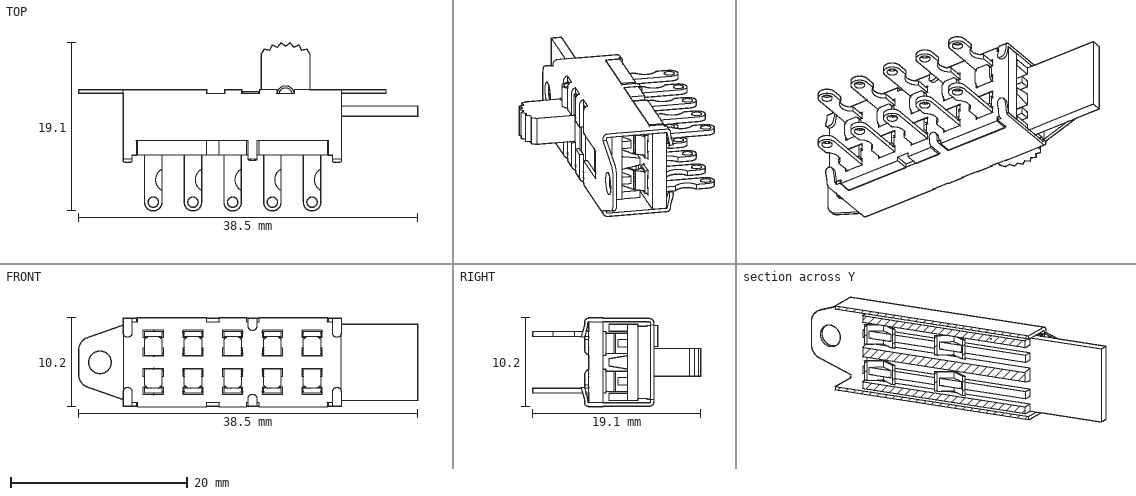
import cadquery as cq
import math


overall_length = 38.5

shell_half_length = 12.4
shell_half_height = 5.0
sheet = 0.42
bend_radius = 0.58
wall_front_y = -7.45
inner_half_height = shell_half_height - sheet

ear_end_x = 17.45
ear_root_half_height = 4.25
ear_tip_half_height = 2.45
ear_corner_radius = 1.5
ear_hole_diameter = 2.55
ear_hole_x = 15.0

knob_slot_half_height = 1.65
slit_pitch = 3.95
slit_width = 2.0
slit_count = 3

tab_width = 1.05
mid_tab_left = 1.77
corner_tab_tip_z = 2.85
mid_tab_tip_z = 3.6
tab_bend_z = 4.25
tab_bend_y = wall_front_y - sheet
tab_slope = 0.28

block_half_length = 12.35
block_front_y = -7.43
block_back_y = -5.78
pad_half_height = 5.1
pad_spans = [(-10.78, -2.93), (-1.5, 1.6), (3.0, 10.78)]
notch_clearance = 0.1

columns = 5
column_offset = 0.05
column_pitch = 4.5
lug_width = 2.0
lug_outer_z = 3.5
lug_thickness = 0.58
lug_end_centre_y = -12.8
lug_hole_diameter = 1.15
lug_bite_y = -10.25
lug_bite_depth = 0.75
lug_bite_radius = 1.4
strap_inner_z = 0.77
strap_front_y = -7.9
strap_bend_radius = 0.7
strap_neck_chamfer = 0.35
lug_slot_width = 2.27
lug_slot_height = 0.85
lug_slot_outer_z = 3.65
contact_root_y = -5.45
contact_top_z = 3.3
contact_bottom_z = 1.0
contact_tip_width = 0.45
contact_tip_y = -4.55

knob_x = 6.05
knob_width = 5.55
knob_height_z = 3.15
knob_top_y = 5.3
knob_shoulder_y = 4.0
ridge_radius = 4.3
ridge_depth = 0.42
ridge_count = 6
ridge_pitch = 13.8
knob_slot_half_length = knob_x + knob_width / 2
slit_positions = [knob_x - index * slit_pitch for index in range(slit_count)]

plate_end_x = overall_length - ear_end_x
plate_back_y = -1.85
plate_front_y = -3.05
plate_half_height = 4.35
plate_start_x = 2 * knob_x - plate_end_x
carriage_half_length = 6.35
carriage_half_height = 4.12

spring_half_height = 4.2
spring_front_y = -0.8
spring_ramp_length = 0.95
spring_ramp_rise = 0.25
spring_bow_width = 1.92
spring_bow_top_y = 0.42
spring_sheet = 0.25
spring_step_y = -0.25
spring_step_width = 1.85
spring_tongue_bottom_z = 1.77

rail_front_y = -5.12
rail_start_inset = 0.08
rail_end_x = 11.95
rail_thickness = 0.85
centre_rail_root = 1.55
centre_rail_tip = 0.85
clip_rib_front_y = -4.12
clip_rib_height = 0.85
clip_press = 0.08
clip_tip_y = contact_tip_y - clip_press
clip_sheet = 0.25
clip_start_columns = (0, 2)


def box(x_min, x_max, y_min, y_max, z_min, z_max):
    size = (x_max - x_min, y_max - y_min, z_max - z_min)
    return cq.Workplane("XY").box(*size, centered=False).translate((x_min, y_min, z_min))


def both_sides(shape):
    """A shape together with its mirror image across the mid height."""
    return shape.union(shape.mirror("XY"))


def extrude_x(points, x_min, x_max):
    """Extrude a (y, z) outline between two X positions."""
    outline = cq.Workplane("YZ", origin=(x_min, 0, 0)).polyline(points).close()
    return outline.extrude(x_max - x_min)


def extrude_z(points, z_min, z_max):
    """Extrude an (x, y) outline between two Z positions."""
    outline = cq.Workplane("XY", origin=(0, 0, z_min)).polyline(points).close()
    return outline.extrude(z_max - z_min)


def make_ear():
    outline = [
        (-shell_half_length, -ear_root_half_height),
        (-ear_end_x, -ear_tip_half_height),
        (-ear_end_x, ear_tip_half_height),
        (-shell_half_length, ear_root_half_height),
    ]
    ear = cq.Workplane("XZ").polyline(outline).close().extrude(sheet)
    ear = ear.edges("|Y and <X").fillet(ear_corner_radius)
    hole = cq.Workplane("XZ").center(-ear_hole_x, 0).circle(ear_hole_diameter / 2).extrude(sheet)
    return ear.cut(hole)


def make_tab(x_min, tip_z):
    """Upper retaining tab: leaves the wall edge, turns down and leans outward."""
    drop = (tab_bend_z - tip_z) * tab_slope
    tip_y = tab_bend_y - drop
    bend_offset = sheet * (1 - math.sqrt(0.5))
    tab = (
        cq.Workplane("YZ", origin=(x_min, 0, 0))
        .moveTo(wall_front_y, inner_half_height)
        .lineTo(wall_front_y, shell_half_height)
        .threePointArc(
            (tab_bend_y + bend_offset, shell_half_height - bend_offset),
            (tab_bend_y, inner_half_height),
        )
        .lineTo(tab_bend_y, tab_bend_z)
        .lineTo(tip_y, tip_z)
        .lineTo(tip_y + sheet, tip_z)
        .close()
        .extrude(tab_width)
    )
    radius = tab_width / 2
    x_mid = x_min + radius
    front = (
        cq.Workplane("XZ", origin=(0, wall_front_y, 0))
        .moveTo(x_min, shell_half_height)
        .lineTo(x_min, tip_z + radius)
        .threePointArc((x_mid, tip_z), (x_min + tab_width, tip_z + radius))
        .lineTo(x_min + tab_width, shell_half_height)
        .close()
        .extrude(wall_front_y - tip_y)
    )
    return tab.intersect(front)


def make_shell():
    length = (-shell_half_length, shell_half_length)
    shell = box(*length, wall_front_y, 0, -shell_half_height, shell_half_height)
    shell = shell.edges("|X and >Y").fillet(bend_radius)
    inside = box(*length, wall_front_y, -sheet, -inner_half_height, inner_half_height)
    inside = inside.edges("|X and >Y").fillet(bend_radius - sheet)
    shell = shell.cut(inside)

    ear = make_ear()
    shell = shell.union(ear).union(ear.mirror("YZ"))

    slot = (-knob_slot_half_length, knob_slot_half_length)
    shell = shell.cut(box(*slot, -sheet, 0, -knob_slot_half_height, knob_slot_half_height))
    slit_half = slit_width / 2
    for x in slit_positions:
        slit = box(x - slit_half, x + slit_half, -sheet, 0, -shell_half_height, shell_half_height)
        shell = shell.cut(slit)

    notch_end = pad_spans[-1][1] + notch_clearance
    mid_tab_right = mid_tab_left + tab_width
    for x_min, x_max in [(-notch_end, mid_tab_left), (mid_tab_right, notch_end)]:
        notch = box(x_min, x_max, wall_front_y, block_back_y, inner_half_height, pad_half_height)
        shell = shell.cut(both_sides(notch))

    tabs = [
        (-shell_half_length, corner_tab_tip_z),
        (mid_tab_left, mid_tab_tip_z),
        (shell_half_length - tab_width, corner_tab_tip_z),
    ]
    for x_min, tip_z in tabs:
        shell = shell.union(both_sides(make_tab(x_min, tip_z)))
    return shell


def column_positions():
    middle = (columns - 1) / 2
    return [column_offset + (index - middle) * column_pitch for index in range(columns)]


def make_block():
    depth = (block_front_y, block_back_y)
    block = box(-block_half_length, block_half_length, *depth, -inner_half_height, inner_half_height)
    for x_min, x_max in pad_spans:
        block = block.union(box(x_min, x_max, *depth, -pad_half_height, pad_half_height))

    half = lug_slot_width / 2
    outer_slot = (lug_slot_outer_z - lug_slot_height, lug_slot_outer_z)
    inner_slot = (strap_inner_z - (lug_slot_outer_z - lug_outer_z) / 2, strap_inner_z + lug_slot_height)
    for x in column_positions():
        for z_min, z_max in (outer_slot, inner_slot):
            block = block.cut(both_sides(box(x - half, x + half, *depth, z_min, z_max)))
    return block


def make_upper_lug():
    """One upper-row lug at X = 0, with its strap and its contact."""
    half = lug_width / 2
    lug_inner_z = lug_outer_z - lug_thickness
    lug_z = (lug_inner_z, lug_outer_z)
    lug = box(-half, half, lug_end_centre_y, contact_root_y, *lug_z)

    def disc(x, y, radius):
        plane = cq.Workplane("XY", origin=(x, y, lug_inner_z))
        return plane.circle(radius).extrude(lug_thickness)

    lug = lug.union(disc(0, lug_end_centre_y, half))
    lug = lug.cut(disc(0, lug_end_centre_y, lug_hole_diameter / 2))
    bite_x = half - lug_bite_depth + lug_bite_radius
    lug = lug.cut(disc(bite_x, lug_bite_y, lug_bite_radius))

    strap = box(-half, half, strap_front_y, block_front_y, strap_inner_z, lug_inner_z)
    strap = strap.edges("|Y and >Z").chamfer(strap_neck_chamfer)
    inner_leg = (strap_inner_z, strap_inner_z + lug_thickness)
    strap = strap.union(box(-half, half, strap_front_y, contact_root_y, *inner_leg))
    strap = strap.edges("|X and <Y and <Z").fillet(strap_bend_radius)

    foot = box(-half, half, block_back_y, contact_root_y, strap_inner_z, lug_outer_z)
    tip = contact_tip_width / 2
    flank_mid_x = tip + (half - tip) * (1 - math.sqrt(0.5))
    flank_mid_y = contact_tip_y + (contact_root_y - contact_tip_y) * math.sqrt(0.5)
    contact = (
        cq.Workplane("XY", origin=(0, 0, contact_bottom_z))
        .moveTo(-half, contact_root_y)
        .threePointArc((-flank_mid_x, flank_mid_y), (-tip, contact_tip_y))
        .lineTo(tip, contact_tip_y)
        .threePointArc((flank_mid_x, flank_mid_y), (half, contact_root_y))
        .close()
        .extrude(contact_top_z - contact_bottom_z)
    )
    return lug.union(strap).union(foot).union(contact)


def make_knob():
    """Knob with a crown of teeth on an arc and straight flanks down to the carriage."""
    crown_y = knob_top_y - ridge_radius * math.cos(math.radians(ridge_pitch / 2))
    half = knob_width / 2
    crown = []
    last_step = ridge_count - 1
    for step in range(-last_step, last_step + 1):
        radius = ridge_radius if step % 2 else ridge_radius - ridge_depth
        angle = math.radians(step * ridge_pitch / 2)
        crown.append((radius * math.sin(angle), crown_y + radius * math.cos(angle)))
    outline = [(-half, plate_back_y), (-half, knob_shoulder_y)] + crown
    outline += [(half, knob_shoulder_y), (half, plate_back_y)]
    knob = extrude_z(outline, -knob_height_z / 2, knob_height_z / 2)
    return knob.translate((knob_x, 0, 0))


def make_clip(x_min):
    """Upper-row sliding clip: a bent leaf whose two ends press on neighbouring contacts."""
    x_mid = x_min + column_pitch / 2
    x_max = x_min + column_pitch
    outline = [
        (x_min, clip_tip_y),
        (x_min, clip_tip_y + clip_sheet),
        (x_mid, plate_front_y),
        (x_max, clip_tip_y + clip_sheet),
        (x_max, clip_tip_y),
        (x_mid, plate_front_y - clip_sheet),
    ]
    return extrude_z(outline, contact_bottom_z, contact_top_z)


def make_detent_spring(x_min, x_max):
    """Spring leaf on the carriage: ramped entry, a step and a bow that snaps into a slit."""
    leaf_outline = [
        (x_min, spring_front_y),
        (x_min + spring_ramp_length, spring_front_y + spring_ramp_rise),
        (x_min + spring_ramp_length, -sheet),
        (x_max, -sheet),
        (x_max, spring_front_y),
    ]
    spring = extrude_z(leaf_outline, -spring_half_height, spring_half_height)

    tongue_z = (spring_tongue_bottom_z, spring_half_height)
    bow_x, step_x = slit_positions[:2]
    step_half = spring_step_width / 2
    step = box(step_x - step_half, step_x + step_half, -sheet, spring_step_y, *tongue_z)

    def arched(half_width, top_y):
        outline = (
            cq.Workplane("XY", origin=(bow_x, 0, tongue_z[0]))
            .moveTo(-half_width, -sheet)
            .threePointArc((0, top_y), (half_width, -sheet))
            .close()
        )
        return outline.extrude(tongue_z[1] - tongue_z[0])

    bow_half = spring_bow_width / 2
    bow = arched(bow_half, spring_bow_top_y)
    bow = bow.cut(arched(bow_half - spring_sheet, spring_bow_top_y - spring_sheet))
    return spring.union(step).union(bow)


def make_actuator():
    actuator = box(
        plate_start_x, plate_end_x, plate_front_y, plate_back_y, -plate_half_height, plate_half_height
    )
    carriage_x = (knob_x - carriage_half_length, knob_x + carriage_half_length)
    carriage = box(*carriage_x, plate_back_y, spring_front_y, -carriage_half_height, carriage_half_height)
    actuator = actuator.union(carriage).union(make_detent_spring(*carriage_x)).union(make_knob())

    rail_x = (plate_start_x + rail_start_inset, rail_end_x)
    rail_z = (plate_half_height - rail_thickness, plate_half_height)
    rail = box(*rail_x, rail_front_y, plate_front_y, *rail_z)
    actuator = actuator.union(both_sides(rail))
    rib_z = (contact_top_z + contact_bottom_z) / 2
    rib_half = clip_rib_height / 2
    rib = box(*rail_x, clip_rib_front_y, plate_front_y, rib_z - rib_half, rib_z + rib_half)
    actuator = actuator.union(both_sides(rib))
    root = centre_rail_root / 2
    tip = centre_rail_tip / 2
    wedge = [(plate_front_y, -root), (rail_front_y, -tip), (rail_front_y, tip), (plate_front_y, root)]
    actuator = actuator.union(extrude_x(wedge, *rail_x))

    column_x = column_positions()
    for index in clip_start_columns:
        actuator = actuator.union(both_sides(make_clip(column_x[index])))
    return actuator


result = make_shell().union(make_block()).union(make_actuator())
upper_lug = make_upper_lug()
lower_lug = upper_lug.rotate((0, 0, 0), (0, 1, 0), 180)
for x_column in column_positions():
    for lug_shape in (upper_lug, lower_lug):
        result = result.union(lug_shape.translate((x_column, 0, 0)))